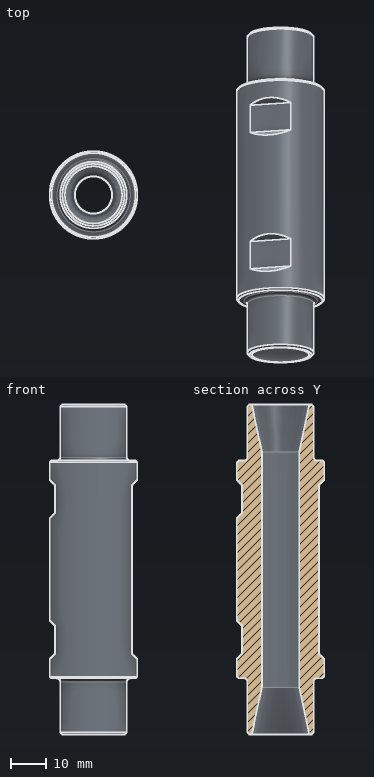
import cadquery as cq
import math

length = 94.0
body_diameter = 25.0
spigot_diameter = 19.0
spigot_length = 16.0
bore_diameter = 10.5

body_chamfer = 0.6
tip_chamfer = 0.7
root_fillet = 0.9

seat_diameter = 16.3
seat_half_angle = math.radians(12)

across_flats = 22.0
short_flat_height = 8.0
flat_pitch = 40.0
cutter_clearance = 0.9

body_radius = body_diameter / 2
spigot_radius = spigot_diameter / 2
seat_depth = (seat_diameter - bore_diameter) / 2 / math.tan(seat_half_angle)
middle = length / 2


def make_body():
    """Central cylinder with chamfered rims."""
    body = cq.Workplane("XY", origin=(0, 0, spigot_length)).circle(body_radius)
    return body.extrude(length - 2 * spigot_length).edges().chamfer(body_chamfer)


def make_spigot():
    """Lower spigot with a chamfered tip and a concave root fillet."""
    root_radius = spigot_radius + root_fillet
    fillet_start = spigot_length - root_fillet
    arc_offset = root_fillet * (1 - math.sqrt(0.5))
    arc_middle = (spigot_radius + arc_offset, spigot_length - arc_offset)
    return (
        cq.Workplane("XZ")
        .lineTo(spigot_radius - tip_chamfer, 0)
        .lineTo(spigot_radius, tip_chamfer)
        .lineTo(spigot_radius, fillet_start)
        .threePointArc(arc_middle, (root_radius, spigot_length))
        .lineTo(0, spigot_length)
        .close()
        .revolve(360, (0, 0), (0, 1))
    )


def make_bore():
    """Through bore opening into a conical seat at each end."""
    return (
        cq.Workplane("XZ")
        .lineTo(seat_diameter / 2, 0)
        .lineTo(bore_diameter / 2, seat_depth)
        .lineTo(bore_diameter / 2, length - seat_depth)
        .lineTo(seat_diameter / 2, length)
        .lineTo(0, length)
        .close()
        .revolve(360, (0, 0), (0, 1))
    )


def make_flat_cutter(side, center_z, height):
    """Trapezoidal cutter for a flat on the +X (side = 1) or -X (side = -1) face."""
    flat_x = across_flats / 2
    outer_x = body_radius + cutter_clearance
    slope_rise = outer_x - flat_x
    return (
        cq.Workplane("XZ", origin=(0, 0, center_z))
        .moveTo(side * flat_x, -height / 2)
        .lineTo(side * flat_x, height / 2)
        .lineTo(side * outer_x, height / 2 + slope_rise)
        .lineTo(side * outer_x, -height / 2 - slope_rise)
        .close()
        .extrude(body_radius, both=True)
    )


lower_spigot = make_spigot()
upper_spigot = lower_spigot.mirror("XY", (0, 0, middle))
result = make_body().union(lower_spigot).union(upper_spigot).cut(make_bore())

for direction in (-1, 1):
    center_z = middle + direction * flat_pitch / 2
    result = result.cut(make_flat_cutter(-1, center_z, short_flat_height))
result = result.cut(make_flat_cutter(1, middle, flat_pitch + short_flat_height))